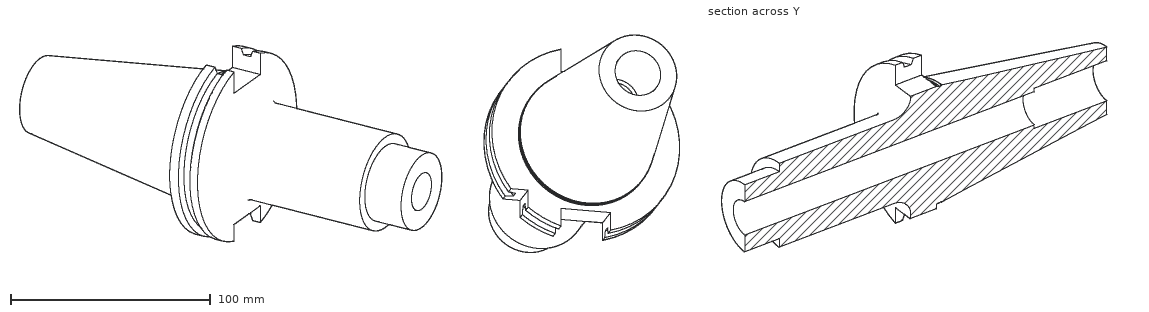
import cadquery as cq
import math

gauge_x = 101.5
relief_end_x = 103.3
flange_front_x = 104.6
flange_back_x = 121.0
blend_end_x = 131.0
body_end_x = 201.5
length = 222.6

gauge_radius = 35.0
taper_ratio = 7 / 24
small_end_radius = gauge_radius - gauge_x * taper_ratio / 2
relief_depth = 0.2
flange_radius = 97.3 / 2
body_radius = 50.0 / 2
nose_radius = 20.0
blend_height = 7.8

groove_front_x = 109.8
groove_back_x = 116.5
groove_depth = 3.1
groove_front_flank = 1.3
groove_back_flank = 1.3

slot_width = 25.5
upper_slot_floor = 35.2
lower_slot_floor = 37.6
notch_y = 29.8
notch_z = 29.5

entry_bore_radius = 11.8
entry_bore_depth = 44.5
through_bore_radius = 9.8


def turned_body():
    """Revolve the taper, grooved flange, concave blend, body and nose about X."""
    blend_length = blend_end_x - flange_back_x
    blend_radius = (blend_length**2 + blend_height**2) / (2 * blend_height)
    half_sweep = math.asin(blend_length / blend_radius) / 2
    blend_mid = (
        blend_end_x - blend_radius * math.sin(half_sweep),
        body_radius + blend_radius * (1 - math.cos(half_sweep)),
    )
    groove_radius = flange_radius - groove_depth
    relief_radius = gauge_radius - relief_depth
    return (
        cq.Workplane("XY")
        .lineTo(0, small_end_radius)
        .lineTo(gauge_x, gauge_radius)
        .lineTo(gauge_x, relief_radius)
        .lineTo(relief_end_x, relief_radius)
        .lineTo(relief_end_x, gauge_radius)
        .lineTo(flange_front_x, gauge_radius)
        .lineTo(flange_front_x, flange_radius)
        .lineTo(groove_front_x, flange_radius)
        .lineTo(groove_front_x + groove_front_flank, groove_radius)
        .lineTo(groove_back_x - groove_back_flank, groove_radius)
        .lineTo(groove_back_x, flange_radius)
        .lineTo(flange_back_x, flange_radius)
        .lineTo(flange_back_x, body_radius + blend_height)
        .threePointArc(blend_mid, (blend_end_x, body_radius))
        .lineTo(body_end_x, body_radius)
        .lineTo(body_end_x, nose_radius)
        .lineTo(length, nose_radius)
        .lineTo(length, 0)
        .close()
        .revolve(360, (0, 0, 0), (1, 0, 0))
    )


def flange_cutter(y_min, y_max, z_min, z_max):
    """Block through the full flange thickness, bounded in Y and Z."""
    return (
        cq.Workplane("XY")
        .box(flange_back_x - flange_front_x, y_max - y_min, z_max - z_min, centered=False)
        .translate((flange_front_x, y_min, z_min))
    )


def axial_bore(radius, depth):
    """Cylinder along X from the small end of the taper."""
    return cq.Workplane("YZ").circle(radius).extrude(depth)


half_slot = slot_width / 2
upper_slot = flange_cutter(-half_slot, half_slot, upper_slot_floor, flange_radius)
lower_slot = flange_cutter(-half_slot, half_slot, -flange_radius, -lower_slot_floor)
notch = flange_cutter(notch_y, flange_radius, -flange_radius, -notch_z)

result = (
    turned_body()
    .cut(upper_slot)
    .cut(lower_slot)
    .cut(notch)
    .cut(axial_bore(entry_bore_radius, entry_bore_depth))
    .cut(axial_bore(through_bore_radius, length))
)